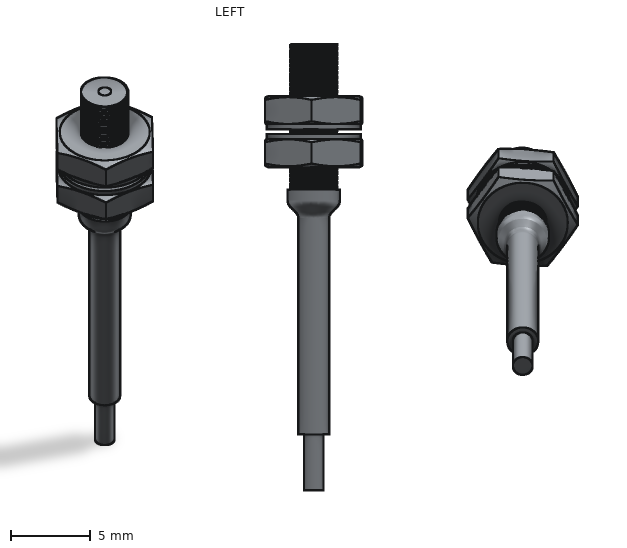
import cadquery as cq
import math


total_height = 28.0
fibre_tail_length = 3.5
thread_length = 9.15
collar_top = total_height - thread_length

thread_diameter = 3.0
thread_pitch = 0.3
groove_width = 0.2
groove_depth = 0.1
groove_overcut = 0.03
groove_exit_angle = 100.0

collar_diameter = 3.3
collar_straight_height = 0.7
collar_blend_radius = 0.5
sleeve_diameter = 1.95
sleeve_blend_radius = 0.5
cone_angle = 45.0

core_diameter = 0.8
jacket_diameter = 1.25

nut_across_flats = 6.0
nut_across_corners = nut_across_flats / math.cos(math.radians(30))
nut_turn = -2.2
hex_thickness = 1.76
flange_diameter = 5.9
flange_thickness = 0.33
nut_height = hex_thickness + flange_thickness
nut_gap = 0.28
outer_face_diameter = 5.65
chamfer_angle = 20.0
upper_nut_top = total_height - 3.28


def cylinder(diameter, bottom, top):
    return cq.Workplane("XY").workplane(offset=bottom).circle(diameter / 2).extrude(top - bottom)


def make_thread():
    """Cylinder with one right-hand V groove that runs out at both ends."""
    radius = thread_diameter / 2
    mouth_radius = radius + groove_overcut
    mouth_half_width = groove_width / 2 * (groove_depth + groove_overcut) / groove_depth
    helix_height = thread_length + 2 * thread_pitch
    helix = cq.Workplane(obj=cq.Wire.makeHelix(thread_pitch, helix_height, radius))
    turns_to_top_face = (thread_length + thread_pitch) / thread_pitch
    start_angle = groove_exit_angle - 360 * turns_to_top_face
    groove = (
        cq.Workplane("XZ")
        .moveTo(radius - groove_depth, 0)
        .lineTo(mouth_radius, -mouth_half_width)
        .lineTo(mouth_radius, mouth_half_width)
        .close()
        .sweep(helix, isFrenet=True)
        .rotate((0, 0, 0), (0, 0, 1), start_angle)
        .translate((0, 0, collar_top - thread_pitch))
    )
    trim = 2 * thread_pitch
    blank = cylinder(thread_diameter, collar_top - trim, total_height + trim)
    kept_length = cylinder(2 * thread_diameter, collar_top, total_height)
    return blank.cut(groove).intersect(kept_length)


def make_collar_and_sleeve():
    """Collar that narrows through a blended cone into the sleeve."""
    collar_radius = collar_diameter / 2
    sleeve_radius = sleeve_diameter / 2
    blend_setback = collar_blend_radius * math.tan(math.radians(cone_angle / 2))
    cone_top = collar_top - collar_straight_height - blend_setback
    cone_height = (collar_radius - sleeve_radius) / math.tan(math.radians(cone_angle))
    cone_bottom = cone_top - cone_height
    outline = (
        cq.Workplane("XZ")
        .moveTo(0, collar_top)
        .lineTo(collar_radius, collar_top)
        .lineTo(collar_radius, cone_top)
        .lineTo(sleeve_radius, cone_bottom)
        .lineTo(sleeve_radius, fibre_tail_length)
        .lineTo(0, fibre_tail_length)
        .close()
    )
    solid = outline.revolve(360, (0, 0, 0), (0, 1, 0))
    solid = solid.faces("%CONE").edges(">Z").fillet(collar_blend_radius)
    return solid.faces("%CONE").edges("<Z").fillet(sleeve_blend_radius)


def make_fibre():
    """Jacketed lower length with the thinner bare core running on through the thread."""
    jacket = cylinder(jacket_diameter, 0, collar_top)
    core = cylinder(core_diameter, collar_top, total_height)
    return jacket.union(core)


def make_housing(fibre):
    return make_thread().union(make_collar_and_sleeve()).cut(fibre)


def make_nut():
    """Hex nut standing on z = 0 with its round flange on top, chamfered on both hex faces."""
    hexagon = (
        cq.Workplane("XY")
        .polygon(6, nut_across_corners)
        .extrude(hex_thickness)
        .rotate((0, 0, 0), (0, 0, 1), nut_turn)
    )
    corner_radius = nut_across_corners / 2
    outer_face_radius = outer_face_diameter / 2
    flange_radius = flange_diameter / 2
    slope = math.tan(math.radians(chamfer_angle))
    outer_drop = (corner_radius - outer_face_radius) * slope
    flange_drop = (corner_radius - flange_radius) * slope
    chamfer_envelope = (
        cq.Workplane("XZ")
        .moveTo(0, 0)
        .lineTo(outer_face_radius, 0)
        .lineTo(corner_radius, outer_drop)
        .lineTo(corner_radius, hex_thickness - flange_drop)
        .lineTo(flange_radius, hex_thickness)
        .lineTo(0, hex_thickness)
        .close()
        .revolve(360, (0, 0, 0), (0, 1, 0))
    )
    flange = cylinder(flange_diameter, hex_thickness, nut_height)
    bore = cylinder(thread_diameter, 0, nut_height)
    return hexagon.intersect(chamfer_envelope).union(flange).cut(bore)


def make_nuts():
    """Two nuts with their flanges facing each other across a narrow gap."""
    upper_flange_face = upper_nut_top - nut_height
    lower_nut_bottom = upper_flange_face - nut_gap - nut_height
    nuts = []
    for bottom, flange_down in ((lower_nut_bottom, False), (upper_flange_face, True)):
        nut = make_nut()
        if flange_down:
            nut = nut.mirror("XY").translate((0, 0, nut_height))
        nuts.append(nut.translate((0, 0, bottom)))
    return nuts


fibre = make_fibre()
housing = make_housing(fibre)
nuts = make_nuts()

result = cq.Compound.makeCompound([body.solids().val() for body in (housing, fibre, *nuts)])